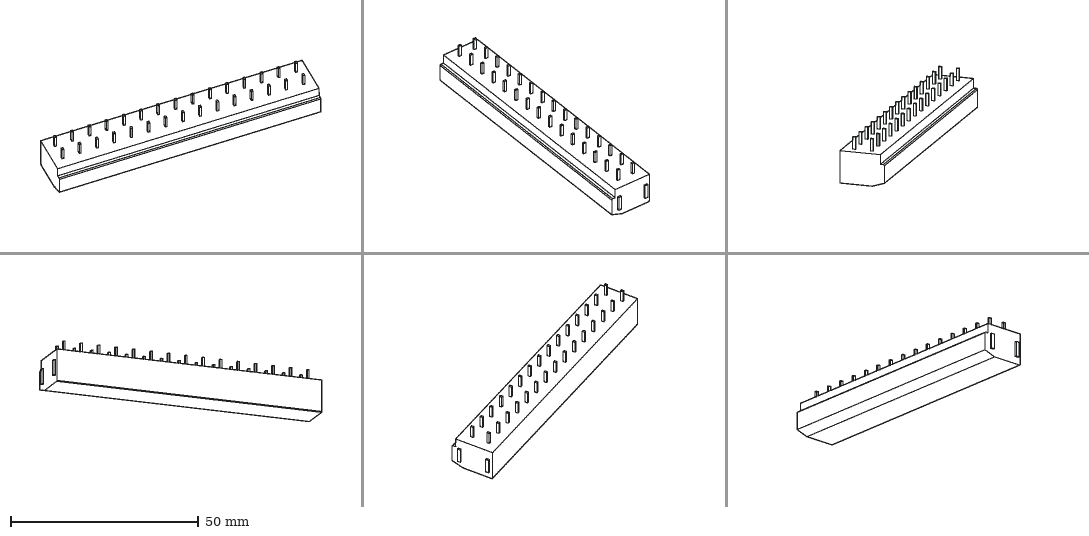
import cadquery as cq

total_length = 76.5
total_width = 12.6
total_height = 12.4

body_height = 9.0
shoulder_x = 11.5
ledge_z = 6.35
ledge_chamfer = 0.3
bevel_start_x = 9.2
bottom_edge_chamfer = 0.21
bevel_end_z = 1.15

pin_columns = 2
pin_rows = 15
pin_span_y = 70.0
pin_pitch = pin_span_y / (pin_rows - 1)
pin_size_x = 0.8
pin_size_y = 0.5
pin_first_x = 3.1
pin_first_y = 2.8

tab_depth = 0.5
tab_width = 0.9
tab_bottom_z = 2.1
tab_height = 4.2
tab_left_edges = (0.9, 9.7)

body_length = total_length - tab_depth


def make_housing():
    """Constant profile with a stepped upper and bevelled lower +X side."""
    profile = [
        (0, bottom_edge_chamfer),
        (bottom_edge_chamfer, 0),
        (bevel_start_x, 0),
        (total_width, bevel_end_z),
        (total_width, ledge_z - ledge_chamfer),
        (total_width - ledge_chamfer, ledge_z),
        (shoulder_x, ledge_z),
        (shoulder_x, body_height),
        (0, body_height),
    ]
    return cq.Workplane("XZ").polyline(profile).close().extrude(-body_length)


def make_pins():
    """Two columns of rectangular pins standing on the top face."""
    centers = [
        (pin_first_x + column * pin_pitch, pin_first_y + row * pin_pitch)
        for column in range(pin_columns)
        for row in range(pin_rows)
    ]
    return (
        cq.Workplane("XY", origin=(0, 0, body_height))
        .pushPoints(centers)
        .rect(pin_size_x, pin_size_y)
        .extrude(total_height - body_height)
    )


def make_tab(left_edge):
    """Rectangular tab standing out from the +Y end face."""
    return cq.Workplane("XY", origin=(left_edge, body_length, tab_bottom_z)).box(
        tab_width, tab_depth, tab_height, centered=False
    )


result = make_housing().union(make_pins())
for left_edge in tab_left_edges:
    result = result.union(make_tab(left_edge))